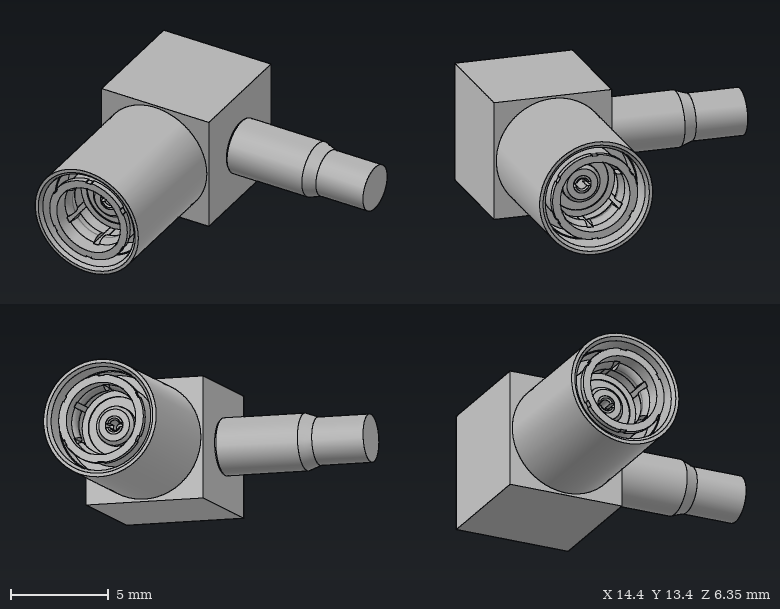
import cadquery as cq
import math


total_length_x = 14.35
total_length_y = 13.35
block_size = 6.35
block_half = block_size / 2
mouth_y = block_half - total_length_y
cable_end_x = total_length_x - block_half

barrel_radius = 3.05
mouth_radius = 2.87
mouth_chamfer = 0.17
step_radius = 2.64
step_depth = 1.44
recess_depth = 2.67

tube_outer_radius = 2.1
tube_bore_radius = 1.88
tube_front_depth = 0.19
collar_radius = 2.3
collar_length = 0.3

rib_front_depth = 1.02
rib_crest_depth = 1.45
rib_rear_depth = 2.0
rib_crest_radius = 1.68

slot_count = 6
slot_width = 0.3
slot_front_depth = 0.93
slot_floor_offset = 1.9
notch_floor_radius = 2.24

sunk_floor_radius = 1.55
sunk_floor_depth = 0.07
nose_radius = 1.02
nose_chamfer = 0.19
nose_front_depth = 2.24

contact_radius = 0.47
contact_height = 0.03
contact_hole_radius = 0.27
contact_chamfer = 0.09
contact_slot_width = 0.22
contact_slot_depth = 0.72
contact_hole_depth = 1.15

ferrule_radius = 1.49
ferrule_chamfer = 0.1
ferrule_length = 4.52
taper_length = 0.69
cable_radius = 1.25


def mouth_plane(depth):
    """Plane across the barrel at a depth from its mouth, with its normal along +Y."""
    return cq.Workplane(cq.Plane((0, mouth_y + depth, 0), xDir=(1, 0, 0), normal=(0, 1, 0)))


def disc(radius, front_depth, rear_depth):
    """Cylinder on the barrel axis between two depths."""
    return mouth_plane(front_depth).circle(radius).extrude(rear_depth - front_depth)


def profile_start(radius, depth):
    """Start of a half section in the XY plane, to be revolved about the barrel axis."""
    return cq.Workplane("XY").moveTo(radius, mouth_y + depth)


def spin(profile):
    """Close a half section and revolve it about the barrel axis."""
    return profile.close().revolve(360, (0, 0, 0), (0, 1, 0))


def tangent_arc_midpoint(base_depth):
    """Middle of an arc from the rib base to its crest, level with the axis at the crest."""
    run = abs(rib_crest_depth - base_depth)
    rise = tube_bore_radius - rib_crest_radius
    arc_radius = (run**2 + rise**2) / (2 * rise)
    half_sweep = math.asin(run / arc_radius) / 2
    side = math.copysign(1, base_depth - rib_crest_depth)
    radius = rib_crest_radius + arc_radius * (1 - math.cos(half_sweep))
    depth = rib_crest_depth + side * arc_radius * math.sin(half_sweep)
    return radius, mouth_y + depth


def make_barrel():
    """Barrel with a chamfered, stepped recess."""
    bore_radius = mouth_radius - mouth_chamfer
    barrel = disc(barrel_radius, 0, total_length_y - block_size)
    recess = spin(
        profile_start(0, 0)
        .lineTo(mouth_radius, mouth_y)
        .lineTo(bore_radius, mouth_y + mouth_chamfer)
        .lineTo(bore_radius, mouth_y + step_depth)
        .lineTo(step_radius, mouth_y + step_depth)
        .lineTo(step_radius, mouth_y + recess_depth)
        .lineTo(0, mouth_y + recess_depth)
    )
    return barrel.cut(recess)


def make_tube():
    """Tube with the rounded rib in its bore, slots through the rib and notches in the collar."""
    collar_rear_depth = tube_front_depth + collar_length
    tube = spin(
        profile_start(collar_radius, tube_front_depth)
        .lineTo(tube_bore_radius, mouth_y + tube_front_depth)
        .lineTo(tube_bore_radius, mouth_y + rib_front_depth)
        .threePointArc(tangent_arc_midpoint(rib_front_depth), (rib_crest_radius, mouth_y + rib_crest_depth))
        .threePointArc(tangent_arc_midpoint(rib_rear_depth), (tube_bore_radius, mouth_y + rib_rear_depth))
        .lineTo(tube_bore_radius, mouth_y + recess_depth)
        .lineTo(tube_outer_radius, mouth_y + recess_depth)
        .lineTo(tube_outer_radius, mouth_y + collar_rear_depth)
        .lineTo(collar_radius, mouth_y + collar_rear_depth)
    )
    slot_bar = (
        mouth_plane(slot_front_depth)
        .rect(2 * slot_floor_offset, slot_width)
        .extrude(recess_depth - slot_front_depth)
    )
    notch_bar = (
        mouth_plane(tube_front_depth)
        .rect(2 * barrel_radius, slot_width)
        .extrude(collar_length)
        .cut(disc(notch_floor_radius, tube_front_depth, collar_rear_depth))
    )
    for index in range(slot_count // 2):
        angle = 90 + index * 360 / slot_count
        for bar in (slot_bar, notch_bar):
            tube = tube.cut(bar.rotate((0, 0, 0), (0, 1, 0), angle))
    return tube


def make_nose():
    """Chamfered insulator nose that surrounds the socket contact."""
    rear_depth = recess_depth + sunk_floor_depth
    return disc(nose_radius, nose_front_depth, rear_depth).faces("<Y").chamfer(nose_chamfer)


def add_contact(body):
    """Add the socket contact to the nose, with a cross slot and a countersunk hole."""
    front_depth = nose_front_depth - contact_height
    post = disc(contact_radius, front_depth, recess_depth)
    slot = (
        mouth_plane(front_depth)
        .rect(2 * contact_radius, contact_slot_width)
        .extrude(contact_slot_depth)
        .intersect(disc(contact_radius, front_depth, front_depth + contact_slot_depth))
    )
    hole = spin(
        profile_start(0, front_depth)
        .lineTo(contact_hole_radius + contact_chamfer, mouth_y + front_depth)
        .lineTo(contact_hole_radius, mouth_y + front_depth + contact_chamfer)
        .lineTo(contact_hole_radius, mouth_y + front_depth + contact_hole_depth)
        .lineTo(0, mouth_y + front_depth + contact_hole_depth)
    )
    return body.union(post).cut(slot).cut(hole)


def make_ferrule():
    """Crimp ferrule tapering down to the cable."""
    taper_start_x = block_half + ferrule_length
    return (
        cq.Workplane("XY")
        .moveTo(block_half, 0)
        .lineTo(block_half, ferrule_radius - ferrule_chamfer)
        .lineTo(block_half + ferrule_chamfer, ferrule_radius)
        .lineTo(taper_start_x, ferrule_radius)
        .lineTo(taper_start_x + taper_length, cable_radius)
        .lineTo(cable_end_x, cable_radius)
        .lineTo(cable_end_x, 0)
        .close()
        .revolve(360, (0, 0, 0), (1, 0, 0))
    )


block = cq.Workplane("XY").box(block_size, block_size, block_size)
sunk_floor = disc(sunk_floor_radius, recess_depth, recess_depth + sunk_floor_depth)
shell = block.union(make_barrel()).union(make_tube()).cut(sunk_floor)
result = add_contact(shell.union(make_nose())).union(make_ferrule())